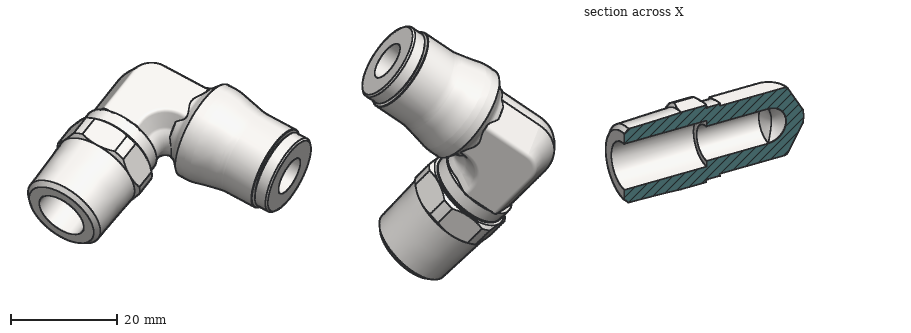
import cadquery as cq
import math


ELBOW_HALF_HEIGHT = 7.5
FACE_ANGLE = 30.0
OUTER_FACE_DISTANCE = 7.17
INNER_FACE_DISTANCE = 6.8
EDGE_ROUND = 1.0
OUTER_ROUND = 7.6
RIDGE_RADIUS = 4.9
RIDGE_TIP = 7.65
RIDGE_BLEND = 1.5
BEND_CENTRE = 8.95
LEG_END = 10.4

COLLAR_RADIUS = 7.95
COLLAR_END = 13.1
NECK_RADIUS = 7.85
HEX_START = 13.35
HEX_END = 18.85
HEX_ACROSS_FLATS = 17.0
HEX_CORNER_RADIUS = 9.24
HEX_END_RADIUS = 8.5
HEX_CHAMFER_LENGTH = 0.62
THREAD_END = 31.0
THREAD_GAUGE = 24.5
THREAD_GAUGE_RADIUS = 8.33
THREAD_TAPER = 1 / 32
THREAD_CHAMFER = 0.9

TUBE_END = 31.0
SLEEVE_START = 8.43
SLEEVE_START_RADIUS = 7.3
FLARE_BLEND_START = 9.42
FLARE_BLEND_START_RADIUS = 7.65
FLARE_START = 10.18
FLARE_START_RADIUS = 8.15
BULGE_START = 11.66
BULGE_RADIUS = 9.7
BULGE_END = 13.5
BULGE_BLEND_END = 14.85
WAIST_BLEND_START = 20.0
WAIST_START = 21.4
WAIST_RADIUS = 8.28
WAIST_END = 27.9
WAIST_CHAMFER = 0.1
GROOVE_RADIUS = 7.1
RING_START = 28.3
RING_RADIUS = 7.8
RING_CHAMFER = 0.35

BORE_RADIUS = 3.75
DRILL_TIP_ANGLE = 118.0
THREAD_BORE_RADIUS = 5.0
THREAD_BORE_END = HEX_START

COS_FACE = math.cos(math.radians(FACE_ANGLE))
SIN_FACE = math.sin(math.radians(FACE_ANGLE))


def rounded_top(face_distance):
    """Start a section on the leg axis, across the flat top and round its edge."""
    corner = (face_distance - ELBOW_HALF_HEIGHT * SIN_FACE) / COS_FACE
    tangent = EDGE_ROUND * math.tan(math.radians(90 - FACE_ANGLE) / 2)
    round_end = (corner + tangent * SIN_FACE, ELBOW_HALF_HEIGHT - tangent * COS_FACE)
    return (
        cq.Workplane("XZ")
        .lineTo(0, ELBOW_HALF_HEIGHT)
        .lineTo(corner - tangent, ELBOW_HALF_HEIGHT)
        .tangentArcPoint(round_end, relative=False)
    )


def outer_section():
    """Upper half of the section on the outside of the bend, in the XZ plane."""
    half_angle = math.acos(OUTER_FACE_DISTANCE / OUTER_ROUND)
    start = math.radians(FACE_ANGLE) - half_angle
    return (
        rounded_top(OUTER_FACE_DISTANCE)
        .lineTo(OUTER_ROUND * math.cos(start), OUTER_ROUND * math.sin(start))
        .threePointArc(
            (OUTER_ROUND * math.cos(start / 2), OUTER_ROUND * math.sin(start / 2)),
            (OUTER_ROUND, 0),
        )
        .close()
    )


def inner_section():
    """Upper half of the section on the inside of the bend, in the XZ plane."""
    ridge_centre = RIDGE_TIP - RIDGE_RADIUS
    reach = RIDGE_RADIUS + RIDGE_BLEND
    along_normal = INNER_FACE_DISTANCE + RIDGE_BLEND - ridge_centre * COS_FACE
    along_face = math.sqrt(reach**2 - along_normal**2)
    blend_u = ridge_centre + along_normal * COS_FACE - along_face * SIN_FACE
    blend_z = along_normal * SIN_FACE + along_face * COS_FACE
    ridge_angle = math.atan2(blend_z, blend_u - ridge_centre)

    def on_ridge(angle):
        return (ridge_centre + RIDGE_RADIUS * math.cos(angle), RIDGE_RADIUS * math.sin(angle))

    return (
        rounded_top(INNER_FACE_DISTANCE)
        .lineTo(blend_u - RIDGE_BLEND * COS_FACE, blend_z - RIDGE_BLEND * SIN_FACE)
        .tangentArcPoint(on_ridge(ridge_angle), relative=False)
        .threePointArc(on_ridge(ridge_angle / 2), (RIDGE_TIP, 0))
        .close()
    )


def leg(length):
    """Straight leg along -Y, upper half: outside of the bend at -X, inside at +X."""
    outside = outer_section().extrude(length).mirror("YZ")
    inside = (
        inner_section()
        .extrude(length - BEND_CENTRE)
        .translate((0, -BEND_CENTRE, 0))
    )
    return outside.union(inside)


def bend():
    """Quarter turn joining the legs, upper half."""
    outside = (
        outer_section()
        .revolve(90, (0, 0, 0), (0, 1, 0))
        .rotate((0, 0, 0), (0, 0, 1), 90)
    )
    inside = (
        inner_section()
        .revolve(90, (BEND_CENTRE, 0, 0), (BEND_CENTRE, -1, 0))
        .translate((0, -BEND_CENTRE, 0))
    )
    web = (
        cq.Workplane("XY")
        .lineTo(BEND_CENTRE, 0)
        .radiusArc((0, -BEND_CENTRE), -BEND_CENTRE)
        .close()
        .extrude(ELBOW_HALF_HEIGHT)
    )
    return outside.union(inside).union(web)


def elbow_body():
    thread_leg = leg(LEG_END)
    tube_leg = leg(FLARE_START).mirror("YZ").rotate((0, 0, 0), (0, 0, 1), 90)
    upper_half = thread_leg.union(tube_leg).union(bend())
    return upper_half.union(upper_half.mirror("XY"))


def threaded_end():
    """Collar, hexagon and taper thread, turned about the Y axis."""
    collar = (
        cq.Workplane("XY")
        .moveTo(0, -LEG_END)
        .lineTo(COLLAR_RADIUS, -LEG_END)
        .lineTo(COLLAR_RADIUS, -COLLAR_END)
        .lineTo(NECK_RADIUS, -COLLAR_END)
        .lineTo(NECK_RADIUS, -HEX_START)
        .lineTo(0, -HEX_START)
        .close()
        .revolve(360, (0, 0, 0), (0, 1, 0))
    )
    hexagon = (
        cq.Workplane("XZ", origin=(0, -HEX_START, 0))
        .polygon(6, HEX_ACROSS_FLATS / math.cos(math.pi / 6))
        .extrude(HEX_END - HEX_START)
    )
    corner_limit = (
        cq.Workplane("XY")
        .moveTo(0, -HEX_START)
        .lineTo(HEX_END_RADIUS, -HEX_START)
        .lineTo(HEX_CORNER_RADIUS, -HEX_START - HEX_CHAMFER_LENGTH)
        .lineTo(HEX_CORNER_RADIUS, -HEX_END + HEX_CHAMFER_LENGTH)
        .lineTo(HEX_END_RADIUS, -HEX_END)
        .lineTo(0, -HEX_END)
        .close()
        .revolve(360, (0, 0, 0), (0, 1, 0))
    )

    def thread_radius(distance):
        return THREAD_GAUGE_RADIUS - THREAD_TAPER * (distance - THREAD_GAUGE)

    chamfer_start = THREAD_END - THREAD_CHAMFER
    thread = (
        cq.Workplane("XY")
        .moveTo(0, -HEX_END)
        .lineTo(thread_radius(HEX_END), -HEX_END)
        .lineTo(thread_radius(chamfer_start), -chamfer_start)
        .lineTo(thread_radius(chamfer_start) - THREAD_CHAMFER, -THREAD_END)
        .lineTo(0, -THREAD_END)
        .close()
        .revolve(360, (0, 0, 0), (0, 1, 0))
    )
    return collar.union(hexagon.intersect(corner_limit)).union(thread)


def tube_end():
    """Flared sleeve and release ring, turned about the X axis."""
    taper_start = (BULGE_END + BULGE_BLEND_END) / 2
    taper_end = (WAIST_BLEND_START + WAIST_START) / 2
    slope = (BULGE_RADIUS - WAIST_RADIUS) / (taper_end - taper_start)
    bulge_blend_radius = BULGE_RADIUS - slope * (BULGE_BLEND_END - taper_start)
    waist_blend_radius = WAIST_RADIUS + slope * (taper_end - WAIST_BLEND_START)
    return (
        cq.Workplane("XY")
        .moveTo(SLEEVE_START, 0)
        .lineTo(SLEEVE_START, SLEEVE_START_RADIUS)
        .lineTo(FLARE_BLEND_START, FLARE_BLEND_START_RADIUS)
        .tangentArcPoint((FLARE_START, FLARE_START_RADIUS), relative=False)
        .lineTo(BULGE_START, BULGE_RADIUS)
        .lineTo(BULGE_END, BULGE_RADIUS)
        .tangentArcPoint((BULGE_BLEND_END, bulge_blend_radius), relative=False)
        .lineTo(WAIST_BLEND_START, waist_blend_radius)
        .tangentArcPoint((WAIST_START, WAIST_RADIUS), relative=False)
        .lineTo(WAIST_END - WAIST_CHAMFER, WAIST_RADIUS)
        .lineTo(WAIST_END, WAIST_RADIUS - WAIST_CHAMFER)
        .lineTo(WAIST_END, GROOVE_RADIUS)
        .lineTo(RING_START, GROOVE_RADIUS)
        .lineTo(RING_START, RING_RADIUS)
        .lineTo(TUBE_END - RING_CHAMFER, RING_RADIUS)
        .lineTo(TUBE_END, RING_RADIUS - RING_CHAMFER)
        .lineTo(TUBE_END, 0)
        .close()
        .revolve(360, (0, 0, 0), (1, 0, 0))
    )


def drilled_bore(end, angle):
    """Hole from an open end to the crossing of the axes, with a pointed bottom."""
    tip_length = BORE_RADIUS / math.tan(math.radians(DRILL_TIP_ANGLE / 2))
    return (
        cq.Workplane("XY")
        .moveTo(0, -end)
        .lineTo(BORE_RADIUS, -end)
        .lineTo(BORE_RADIUS, 0)
        .lineTo(0, tip_length)
        .close()
        .revolve(360, (0, 0, 0), (0, 1, 0))
        .rotate((0, 0, 0), (0, 0, 1), angle)
    )


def thread_bore():
    return (
        cq.Workplane("XZ", origin=(0, -THREAD_BORE_END, 0))
        .circle(THREAD_BORE_RADIUS)
        .extrude(THREAD_END - THREAD_BORE_END)
    )


result = (
    elbow_body()
    .union(threaded_end())
    .union(tube_end())
    .cut(drilled_bore(THREAD_END, 0))
    .cut(drilled_bore(TUBE_END, 90))
    .cut(thread_bore())
)